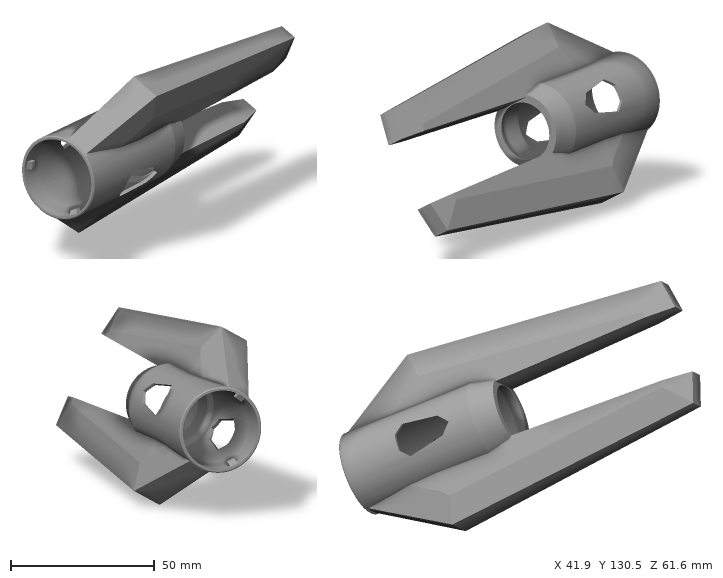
import cadquery as cq

tube_length = 60.3
tube_radius = 15.1
nose_start = 51.2
nose_radius = 13.0
rim_chamfer = 0.4

bore_radius = 14.0
bore_depth = 45.3
seat_radius = 12.3
seat_start = 47.0
seat_end = 56.2
exit_radius = 10.2

nub_count = 3
nub_turn = 7.0
nub_width = 2.9
nub_start = 1.3
nub_ramp_end = 2.6
nub_end = 4.2
nub_inner_radius = 12.4

blade_tilt = 30.0
shoulder_y = 30.5
shoulder_height = 32.4
shoulder_half_width = 5.5
tip_y = 127.8
tip_height = 23.2
tip_half_width = 3.1
point_y = 130.5
point_height = 12.3
root_y = 0.7
root_height = 14.1
root_half_width = 4.2
inner_height = 10.5
middle_half_width = 7.6
base_half_width = 6.3
end_half_width = 5.2
flank_rear_y = 33.0
flank_rear_height = 22.7
flank_tip_y = 119.0
flank_tip_height = 14.5

stock_size = 391.5

window_point_y = 42.7
window_neck_y = 39.0
window_neck_half = 3.8
window_wide_y = 25.2
window_wide_half = 6.1
window_end_y = 21.9
window_end_half = 2.9


def tube_body():
    return (
        cq.Workplane("XY")
        .moveTo(0, 0)
        .lineTo(tube_radius - rim_chamfer, 0)
        .lineTo(tube_radius, rim_chamfer)
        .lineTo(tube_radius, nose_start)
        .lineTo(nose_radius, tube_length)
        .lineTo(0, tube_length)
        .close()
        .revolve(360, (0, 0, 0), (0, 1, 0))
    )


def tube_bore():
    return (
        cq.Workplane("XY")
        .moveTo(0, 0)
        .lineTo(bore_radius, 0)
        .lineTo(bore_radius, bore_depth)
        .lineTo(seat_radius, seat_start)
        .lineTo(seat_radius, seat_end)
        .lineTo(exit_radius, tube_length)
        .lineTo(0, tube_length)
        .close()
        .revolve(360, (0, 0, 0), (0, 1, 0))
    )


def outside_of(corner, second, third):
    """Block lying on the +X side of the plane through three points."""
    origin = cq.Vector(*corner)
    along = cq.Vector(*second) - origin
    normal = along.cross(cq.Vector(*third) - origin)
    if normal.x < 0:
        normal = normal * -1
    plane = cq.Plane(origin=origin, xDir=along, normal=normal)
    return cq.Workplane(plane).rect(stock_size, stock_size).extrude(stock_size)


def turned(shape, angle):
    """Turn a shape about the tube axis."""
    return shape.rotate((0, 0, 0), (0, 1, 0), angle)


def side_half_width(y):
    """Half thickness of the blade sides at a place ahead of the shoulder."""
    share = (y - shoulder_y) / (point_y - shoulder_y)
    return middle_half_width + share * (end_half_width - middle_half_width)


def blade():
    outline = (
        cq.Workplane("YZ")
        .polyline([
            (point_y, point_height),
            (tip_y, tip_height),
            (shoulder_y, shoulder_height),
            (root_y, root_height),
            (root_y, inner_height),
            (tube_length, inner_height),
        ])
        .close()
        .extrude(tube_radius, both=True)
    )
    thickness = (
        cq.Workplane("XY")
        .polyline([
            (base_half_width, 0),
            (middle_half_width, shoulder_y),
            (end_half_width, point_y),
            (-end_half_width, point_y),
            (-middle_half_width, shoulder_y),
            (-base_half_width, 0),
        ])
        .close()
        .extrude(stock_size)
    )
    shoulder = (shoulder_half_width, shoulder_y, shoulder_height)
    tip = (tip_half_width, tip_y, tip_height)
    point = (tip_half_width, point_y, point_height)
    root = (root_half_width, root_y, root_height)

    rear_flank = (side_half_width(flank_rear_y), flank_rear_y, flank_rear_height)
    tip_flank = (side_half_width(flank_tip_y), flank_tip_y, flank_tip_height)

    body = outline.intersect(thickness)
    for corners in (
        (shoulder, tip, rear_flank),
        (shoulder, root, rear_flank),
        (tip, point, tip_flank),
    ):
        bevel = outside_of(*corners)
        body = body.cut(bevel).cut(bevel.mirror("YZ"))
    return body


def rim_relief():
    """Wedge behind the blade's rear slope, which trims the tube down to a thin rim."""
    return (
        cq.Workplane("YZ")
        .polyline([
            (root_y, root_height),
            (shoulder_y, shoulder_height),
            (root_y, shoulder_height),
        ])
        .close()
        .extrude(tube_radius, both=True)
    )


def windows():
    return (
        cq.Workplane("YZ")
        .polyline([
            (window_point_y, 0),
            (window_neck_y, window_neck_half),
            (window_wide_y, window_wide_half),
            (window_end_y, window_end_half),
            (window_end_y, -window_end_half),
            (window_wide_y, -window_wide_half),
            (window_neck_y, -window_neck_half),
        ])
        .close()
        .extrude(tube_radius, both=True)
    )


def nub():
    """Block rooted in the tube wall, with a lead-in ramp toward the open end."""
    mid_wall_radius = (bore_radius + tube_radius) / 2
    return (
        cq.Workplane("YZ")
        .polyline([
            (nub_start, mid_wall_radius),
            (nub_start, bore_radius),
            (nub_ramp_end, nub_inner_radius),
            (nub_end, nub_inner_radius),
            (nub_end, mid_wall_radius),
        ])
        .close()
        .extrude(nub_width / 2, both=True)
    )


body = tube_body()
for turn in (0, 180):
    body = body.union(turned(blade(), turn))
    body = body.cut(turned(rim_relief(), turn))
body = body.cut(tube_bore()).cut(windows())
for index in range(nub_count):
    body = body.union(turned(nub(), nub_turn + index * 360 / nub_count))
result = turned(body, blade_tilt)